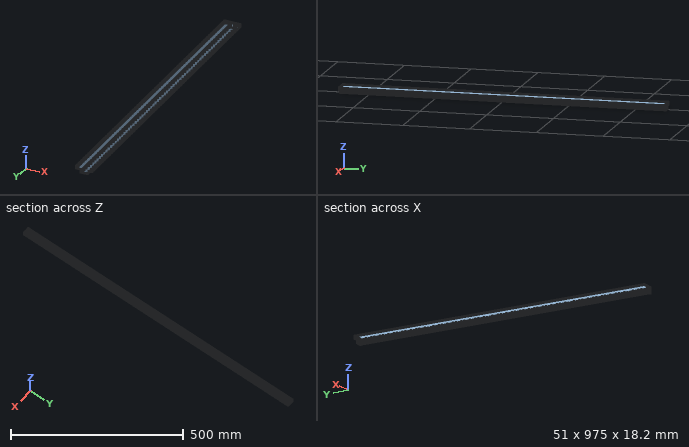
import cadquery as cq

length = 975.0
plate_width = 51.0
plate_thickness = 8.0
stem_width = 9.0
stem_height = 4.8
foot_width = 21.0
foot_thickness = 5.4

slot_width = 48.0
slot_height = 1.0
slot_cover = 2.0

lip_width = 2.0
groove_floor = 2.4
groove_fillet = 1.5
groove_width = (foot_width - stem_width) / 2 - lip_width
groove_offset = (stem_width + groove_width) / 2

plate_bottom = foot_thickness + stem_height
height = plate_bottom + plate_thickness


def bar(width, bottom, top):
    """Full-length rectangular bar centred on X and Y between two heights."""
    return (
        cq.Workplane("XY")
        .workplane(offset=bottom)
        .rect(width, length)
        .extrude(top - bottom)
    )


def groove(x):
    """Full-length groove cutter with rounded lower corners."""
    cutter = bar(groove_width, groove_floor, foot_thickness)
    return cutter.edges("|Y and <Z").fillet(groove_fillet).translate((x, 0, 0))


plate = bar(plate_width, plate_bottom, height)
stem = bar(stem_width, 0, plate_bottom)
foot = bar(foot_width, 0, foot_thickness)
result = plate.union(stem).union(foot)

slot_top = height - slot_cover
result = result.cut(bar(slot_width, slot_top - slot_height, slot_top))

for side in (-1, 1):
    result = result.cut(groove(side * groove_offset))